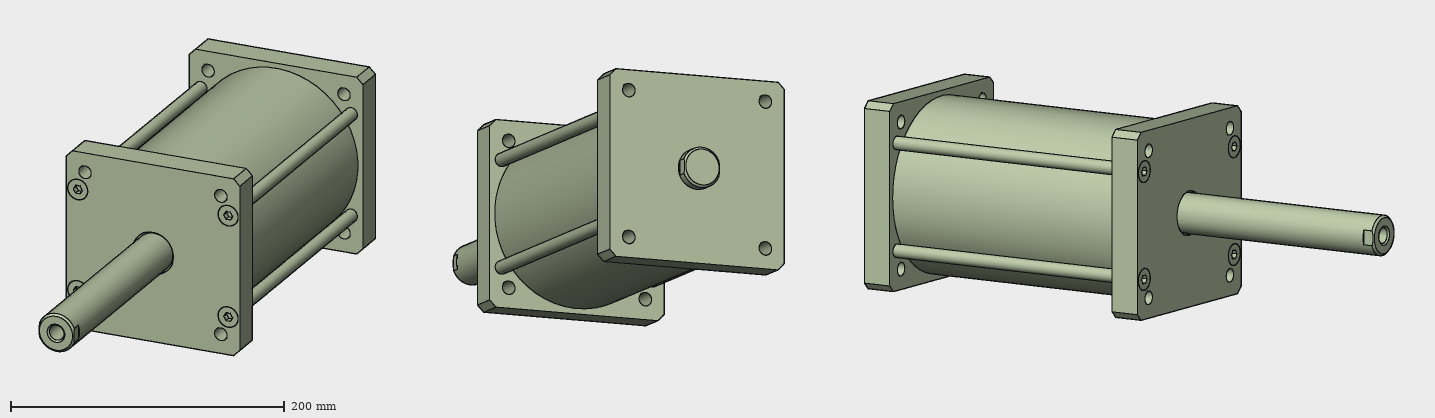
import cadquery as cq
import math

TOTAL_LENGTH = 418.0
ROD_EXTENSION = 170.0
PLATE_THICKNESS = 22.0
REAR_STUB = 9.5
TUBE_LENGTH = TOTAL_LENGTH - ROD_EXTENSION - 2 * PLATE_THICKNESS - REAR_STUB

ROD_FRONT = -TOTAL_LENGTH / 2
FRONT_PLATE_FACE = ROD_FRONT + ROD_EXTENSION
TUBE_FRONT = FRONT_PLATE_FACE + PLATE_THICKNESS
TUBE_REAR = TUBE_FRONT + TUBE_LENGTH

PLATE_SIDE = 140.0
PLATE_CORNER_CHAMFER = 5.0
BARREL_DIAMETER = 132.0
MOUNT_HOLE_DIAMETER = 10.0
MOUNT_HOLE_OFFSET = 54.8

TIE_ROD_DIAMETER = 10.0
TIE_OFFSET_X = 60.5
TIE_OFFSET_Z = 40.0
HEAD_DIAMETER = 16.0
COUNTERBORE_DIAMETER = 16.5
COUNTERBORE_DEPTH = 12.5
SOCKET_ACROSS_CORNERS = 7.0
SOCKET_DEPTH = 5.0

ROD_DIAMETER = 30.0
ROD_CHAMFER = 1.5
ROD_ACROSS_FLATS = 28.0
ROD_FLAT_LENGTH = 8.8
ROD_RECESS_DIAMETER = 33.0
ROD_RECESS_DEPTH = 2.0
TAP_DIAMETER = 11.5
TAP_MOUTH_DIAMETER = 14.2
TAP_DEPTH = 25.0
DRILL_POINT_ANGLE = 118.0


def plane_at(y):
    """Sketch plane at position y, with local axes -X and Z, extruding towards +Y."""
    return cq.Workplane(cq.Plane(origin=(0, y, 0), xDir=(-1, 0, 0), normal=(0, 1, 0)))


def corner_points(x, z):
    """Four points mirrored about both axes."""
    return [(sx * x, sz * z) for sx in (-1, 1) for sz in (-1, 1)]


TIE_POINTS = corner_points(TIE_OFFSET_X, TIE_OFFSET_Z)
MOUNT_POINTS = corner_points(MOUNT_HOLE_OFFSET, MOUNT_HOLE_OFFSET)


def end_plate(y):
    """Square plate with chamfered corners and four mounting holes."""
    plate = plane_at(y).rect(PLATE_SIDE, PLATE_SIDE).extrude(PLATE_THICKNESS)
    plate = plate.edges("|Y").chamfer(PLATE_CORNER_CHAMFER)
    holes = plane_at(y).pushPoints(MOUNT_POINTS).circle(MOUNT_HOLE_DIAMETER / 2).extrude(PLATE_THICKNESS)
    return plate.cut(holes)


def rod_recess(y):
    """Ring groove around the piston rod, cut from y towards +Y."""
    ring = plane_at(y).circle(ROD_RECESS_DIAMETER / 2).circle(ROD_DIAMETER / 2)
    return ring.extrude(ROD_RECESS_DEPTH)


def screw_clearance(y):
    """Thin gaps between the flush screw heads and their counterbores."""
    ring = plane_at(y).pushPoints(TIE_POINTS).circle(COUNTERBORE_DIAMETER / 2).extrude(COUNTERBORE_DEPTH)
    head = plane_at(y).pushPoints(TIE_POINTS).circle(HEAD_DIAMETER / 2).extrude(COUNTERBORE_DEPTH)
    return ring.cut(head)


def screw_sockets(y):
    """Hexagon sockets in the screw heads."""
    return plane_at(y).pushPoints(TIE_POINTS).polygon(6, SOCKET_ACROSS_CORNERS).extrude(SOCKET_DEPTH)


def rod_flats(y):
    """Material to remove on the -X and +X sides of the rod from y towards +Y."""
    blank = plane_at(y).rect(2 * ROD_DIAMETER, 2 * ROD_DIAMETER).extrude(ROD_FLAT_LENGTH)
    kept = plane_at(y).rect(ROD_ACROSS_FLATS, 2 * ROD_DIAMETER).extrude(ROD_FLAT_LENGTH)
    return blank.cut(kept)


def tapped_hole():
    """Countersunk blind hole with a conical drill point in the rod tip."""
    radius = TAP_DIAMETER / 2
    mouth = TAP_MOUTH_DIAMETER / 2
    point_length = radius / math.tan(math.radians(DRILL_POINT_ANGLE / 2))
    profile = [
        (0, 0),
        (mouth, 0),
        (radius, mouth - radius),
        (radius, TAP_DEPTH),
        (0, TAP_DEPTH + point_length),
    ]
    hole = cq.Workplane("XY").polyline(profile).close().revolve(360, (0, 0, 0), (0, 1, 0))
    return hole.translate((0, ROD_FRONT, 0))


def piston_rod():
    """Full-length rod with chamfered ends, wrench flats at both ends and a tapped tip."""
    rod = plane_at(ROD_FRONT).circle(ROD_DIAMETER / 2).extrude(TOTAL_LENGTH)
    rod = rod.faces("<Y or >Y").chamfer(ROD_CHAMFER)
    rod = rod.cut(rod_flats(ROD_FRONT))
    rod = rod.cut(rod_flats(TOTAL_LENGTH / 2 - ROD_FLAT_LENGTH))
    return rod.cut(tapped_hole())


barrel = plane_at(TUBE_FRONT).circle(BARREL_DIAMETER / 2).extrude(TUBE_LENGTH)
tie_rods = plane_at(TUBE_FRONT).pushPoints(TIE_POINTS).circle(TIE_ROD_DIAMETER / 2).extrude(TUBE_LENGTH)

result = end_plate(FRONT_PLATE_FACE).union(end_plate(TUBE_REAR)).union(barrel).union(tie_rods)
result = result.cut(rod_recess(FRONT_PLATE_FACE))
result = result.cut(screw_clearance(FRONT_PLATE_FACE))
result = result.cut(screw_sockets(FRONT_PLATE_FACE))
result = result.union(piston_rod())